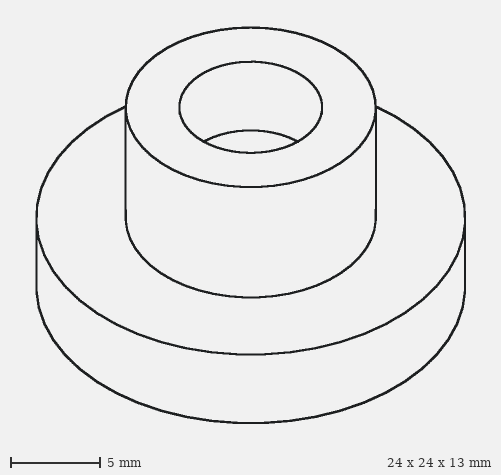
import cadquery as cq

flange_diameter = 24.0
flange_height = 5.0
hub_diameter = 14.0
total_height = 13.0
bore_diameter = 8.0
bore_depth = 5.0

hub_height = total_height - flange_height

flange = cq.Workplane("XY").circle(flange_diameter / 2).extrude(flange_height)
flanged_hub = flange.faces(">Z").workplane().circle(hub_diameter / 2).extrude(hub_height)

result = flanged_hub.faces(">Z").workplane().hole(bore_diameter, bore_depth)